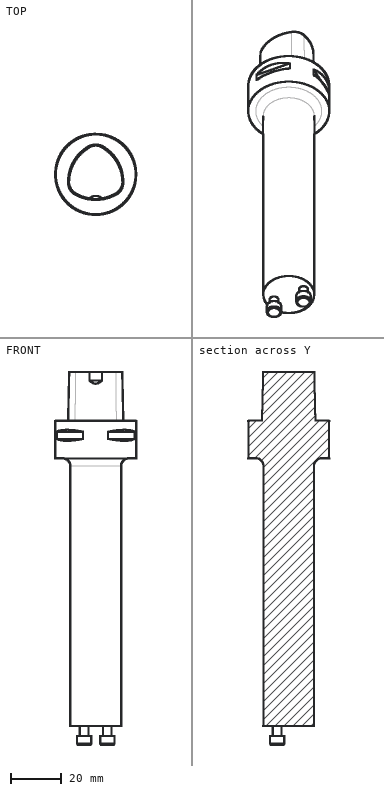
import cadquery as cq
import math

total_height = 146.5
head_height = 3.5
shank_length = 3.8
flange_height = 15.0
coupling_height = 19.0
bar_bottom = head_height + shank_length
flange_top = total_height - coupling_height
flange_bottom = flange_top - flange_height

bar_diameter = 20.0
flange_diameter = 32.0
flange_chamfer = 0.3
neck_radius = 3.0

groove_count = 4
groove_floor_distance = 14.2
groove_floor_width = 2.8
groove_mouth_width = 4.4
groove_below_flange_top = 5.9

lobe_count = 3
lobe_center_distance = 6.2
lobe_radius = 5.5
side_radius = lobe_radius + lobe_center_distance * math.sqrt(3)
taper_angle = 1.3

notch_radius = 3.4
notch_depth = 3.4
notch_inset = 1.2
notch_point_height = 3.4

screw_offset = 4.5
screw_positions = [(-screw_offset, screw_offset), (screw_offset, -screw_offset)]
shank_diameter = 3.5
head_diameter = 5.7
head_chamfer = 0.5


def polar(radius, angle):
    """Point at a radius and an angle in degrees."""
    return (radius * math.cos(math.radians(angle)), radius * math.sin(math.radians(angle)))


def around(center, radius, angle):
    """Point on the circle about a centre, at an angle in degrees."""
    dx, dy = polar(radius, angle)
    return (center[0] + dx, center[1] + dy)


def make_bar():
    """Bar that flares with a quarter arc into the underside of the flange."""
    bar_radius = bar_diameter / 2
    arc_center = (bar_radius + neck_radius, flange_bottom - neck_radius)
    return (
        cq.Workplane("XZ")
        .moveTo(0, bar_bottom)
        .lineTo(bar_radius, bar_bottom)
        .lineTo(bar_radius, flange_bottom - neck_radius)
        .threePointArc(around(arc_center, neck_radius, 135), around(arc_center, neck_radius, 90))
        .lineTo(0, flange_bottom)
        .close()
        .revolve(360, (0, 0, 0), (0, 1, 0))
    )


def make_flange():
    """Round flange with a chamfered upper rim and flat-bottomed grooves on its diagonals."""
    flange_radius = flange_diameter / 2
    flange = (
        cq.Workplane("XY", origin=(0, 0, flange_bottom))
        .circle(flange_radius)
        .extrude(flange_height)
        .faces(">Z")
        .edges()
        .chamfer(flange_chamfer)
    )
    floor_half = groove_floor_width / 2
    mouth_half = groove_mouth_width / 2
    groove = (
        cq.Workplane("XZ", origin=(0, 0, flange_top - groove_below_flange_top))
        .polyline([
            (groove_floor_distance, -floor_half),
            (flange_radius, -mouth_half),
            (flange_radius, mouth_half),
            (groove_floor_distance, floor_half),
        ])
        .close()
        .extrude(flange_radius, both=True)
    )
    step = 360 / groove_count
    for index in range(groove_count):
        flange = flange.cut(groove.rotate((0, 0, 0), (0, 0, 1), step * (index + 0.5)))
    return flange


def draw_lobed_outline(plane, inset):
    """Smooth three-lobed outline of constant width, moved inward by the inset."""
    small = lobe_radius - inset
    large = side_radius - inset
    step = 360 / lobe_count
    half_arc = step / 4
    outline = plane
    for index in range(lobe_count):
        lobe_angle = 90 + step * index
        side_angle = lobe_angle + step / 2
        lobe_center = polar(lobe_center_distance, lobe_angle)
        side_center = polar(lobe_center_distance, side_angle + 180)
        if index == 0:
            outline = outline.moveTo(*around(lobe_center, small, lobe_angle - half_arc))
        outline = outline.threePointArc(
            around(lobe_center, small, lobe_angle),
            around(lobe_center, small, lobe_angle + half_arc),
        )
        outline = outline.threePointArc(
            around(side_center, large, side_angle),
            around(side_center, large, side_angle + half_arc),
        )
    return outline.close()


def make_coupling():
    """Tapered coupling, narrowest at the tip, with the locating notch."""
    tip_inset = coupling_height * math.tan(math.radians(taper_angle))
    base = draw_lobed_outline(cq.Workplane("XY", origin=(0, 0, flange_top)), 0)
    body = draw_lobed_outline(base.workplane(offset=coupling_height), tip_inset).loft(ruled=True)

    notch_back = lobe_center_distance - (side_radius - tip_inset) + notch_inset
    cutter = (
        cq.Workplane("XZ")
        .polyline([
            (0, notch_depth),
            (notch_radius, notch_depth),
            (notch_radius, -notch_depth),
            (0, -notch_depth - notch_point_height),
        ])
        .close()
        .revolve(360, (0, 0, 0), (0, 1, 0))
        .translate((0, notch_back - notch_radius, total_height))
    )
    return body.cut(cutter)


def make_screws():
    """Clamping screws with their heads hanging below the bar."""
    heads = (
        cq.Workplane("XY")
        .pushPoints(screw_positions)
        .circle(head_diameter / 2)
        .extrude(head_height)
        .faces("<Z")
        .edges()
        .chamfer(head_chamfer)
    )
    shanks = (
        cq.Workplane("XY", origin=(0, 0, head_height))
        .pushPoints(screw_positions)
        .circle(shank_diameter / 2)
        .extrude(shank_length)
    )
    return heads.union(shanks)


result = make_bar().union(make_flange()).union(make_coupling()).union(make_screws())